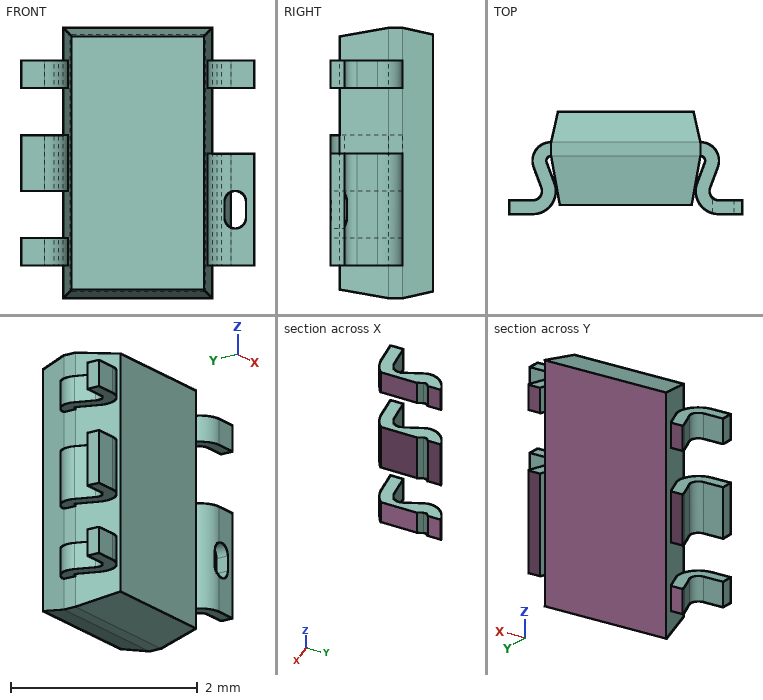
import cadquery as cq
import math

package_length = 2.9
package_depth = 1.1
lead_span = 2.5

body_width = 1.6
standoff = 0.1
front_inset = 0.093
back_inset = 0.072

lead_thickness = 0.15
belt_front = 0.624
belt_back = belt_front + lead_thickness
foot_length = 0.252
upper_inner_radius = 0.05
lower_inner_radius = 0.1
upper_outer_radius = upper_inner_radius + lead_thickness
lower_outer_radius = lower_inner_radius + lead_thickness

narrow_width = 0.3
middle_width = 0.6
wide_width = 1.2
outer_lead_z = 0.95
wide_lead_z = (wide_width - narrow_width) / 2 - outer_lead_z

slot_width = 0.23
slot_length = 0.4
slot_x = 1.045


def make_body():
    """Loft straight-sided sections from the front face, through the belt, to the back face."""
    sections = [
        (standoff, front_inset),
        (belt_front, 0),
        (belt_back, 0),
        (package_depth, back_inset),
    ]
    wires = []
    for y, inset in sections:
        half_x = body_width / 2 - inset
        half_z = package_length / 2 - inset
        corners = [
            cq.Vector(-half_x, y, -half_z),
            cq.Vector(half_x, y, -half_z),
            cq.Vector(half_x, y, half_z),
            cq.Vector(-half_x, y, half_z),
        ]
        wires.append(cq.Wire.makePolygon(corners, close=True))
    return cq.Solid.makeLoft(wires, True)


def make_lead(side, center_z, width):
    """Bend a strip from the body wall to its foot; side is -1 for left, 1 for right."""
    wall_x = body_width / 2
    tip_x = lead_span / 2
    upper_x, upper_y = wall_x, belt_back - upper_outer_radius
    lower_x, lower_y = tip_x - foot_length, lower_outer_radius

    offset_x = lower_x - upper_x
    offset_y = upper_y - lower_y
    radius_sum = upper_outer_radius + lower_inner_radius
    lean = math.asin(radius_sum / math.hypot(offset_x, offset_y)) - math.atan2(offset_x, offset_y)

    def upper_point(radius, angle):
        return (side * (upper_x + radius * math.cos(angle)), upper_y + radius * math.sin(angle))

    def lower_point(radius, angle):
        return (side * (lower_x - radius * math.cos(angle)), lower_y + radius * math.sin(angle))

    quarter = math.pi / 2
    upper_middle = (quarter - lean) / 2
    lower_middle = (lean - quarter) / 2
    profile = (
        cq.Workplane("XY", origin=(0, 0, center_z - width / 2))
        .moveTo(side * wall_x, belt_back)
        .threePointArc(upper_point(upper_outer_radius, upper_middle), upper_point(upper_outer_radius, -lean))
        .lineTo(*lower_point(lower_inner_radius, lean))
        .threePointArc(
            lower_point(lower_inner_radius, lower_middle),
            lower_point(lower_inner_radius, -quarter),
        )
        .lineTo(side * tip_x, lead_thickness)
        .lineTo(side * tip_x, 0)
        .lineTo(side * lower_x, 0)
        .threePointArc(lower_point(lower_outer_radius, lower_middle), lower_point(lower_outer_radius, lean))
        .lineTo(*upper_point(upper_inner_radius, -lean))
        .threePointArc(upper_point(upper_inner_radius, upper_middle), (side * wall_x, belt_front))
        .close()
    )
    return profile.extrude(width)


def make_slotted_lead():
    """Make the wide right lead, with a slot through its foot but not through its upper bend."""
    slot = (
        cq.Workplane("XZ", origin=(slot_x, 0, wide_lead_z))
        .slot2D(slot_length, slot_width, 90)
        .extrude(-lower_outer_radius)
    )
    return make_lead(1, wide_lead_z, wide_width).cut(slot)


body = make_body()

plain_lead_places = [
    (-1, outer_lead_z, narrow_width),
    (-1, 0, middle_width),
    (-1, -outer_lead_z, narrow_width),
    (1, outer_lead_z, narrow_width),
]
plain_leads = []
for side, center_z, width in plain_lead_places:
    plain_leads.append(make_lead(side, center_z, width).val())

slotted_lead = make_slotted_lead()

result = cq.Compound.makeCompound([body, *plain_leads, slotted_lead.val()])